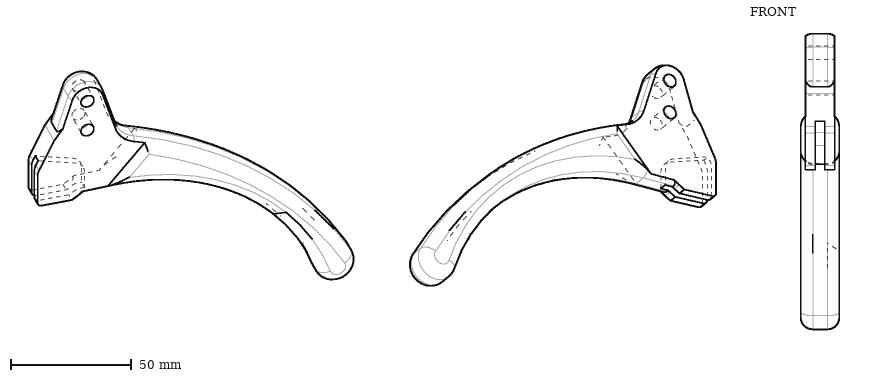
import cadquery as cq
import math


handle_thickness = 16.0
head_thickness = 12.2
edge_radius = 5.0

hub_radius = 7.9
flank_angle = 17.0
hole_diameter = 5.7
hole_spacing = 14.5
throat_radius = 11.8
core_front_z = -33.2
core_toe_y = -8.3
underside_arc_end_y = 11.1

tip_radius = 8.5
tip_center = (108.2, -106.2)
outer_radius = 169.3
outer_tip_angle = 29.2
inner_radius = 91.0
inner_tip_angle = 17.9

step_top = (24.5, -26.9)
step_bottom = (9.8, -43.7)
cutter_reach = 83.0

lug_front_y = -21.7
lug_bottom_z = -48.5
lug_corner_radius = 1.8
lug_shoulder_radius = 6.2
lug_upper = (-11.0, -11.9)
lug_bend = (-14.5, -16.9)
lug_shoulder = (lug_front_y, -31.8)
lug_heel = (-6.8, lug_bottom_z)
lug_heel_top = (-4.2, -46.8)
lug_inside = [(2.8, -41.5), (0.0, -16.6)]

slot_width = 3.7
slot_back_y = 0.0
slot_roof_front_z = -28.0
slot_roof_back_z = -34.2
slot_roof_radius = 5.5


def polar(center, radius, angle):
    """Point at an angle in radians around a centre."""
    return (center[0] + radius * math.cos(angle), center[1] + radius * math.sin(angle))


def bearing(start, end):
    """Direction in radians from one point to another."""
    return math.atan2(end[1] - start[1], end[0] - start[0])


def plate(sketch, thickness):
    """Extrude a YZ sketch symmetrically about X = 0."""
    return sketch.extrude(thickness / 2, both=True)


def make_body():
    """Full-thickness lever with rounded edges."""
    hub = (0.0, 0.0)
    flank = math.radians(flank_angle)
    back_tangent = polar(hub, hub_radius, flank)
    front_tangent = polar(hub, hub_radius, math.pi - flank)

    outer_tip = math.radians(outer_tip_angle)
    inner_tip = math.radians(inner_tip_angle)
    outer_center = polar(tip_center, tip_radius - outer_radius, outer_tip)
    inner_center = polar(tip_center, -(tip_radius + inner_radius), inner_tip)

    normal = (math.cos(flank), math.sin(flank))
    outer_offset = outer_center[0] * normal[0] + outer_center[1] * normal[1]
    across = hub_radius + throat_radius - outer_offset
    along = math.sqrt((outer_radius + throat_radius) ** 2 - across ** 2)
    throat_center = polar(polar(outer_center, across, flank), along, flank + math.pi / 2)
    throat_start = polar(throat_center, -throat_radius, flank)
    outer_start_angle = bearing(outer_center, throat_center)
    throat_middle_angle = (flank + outer_start_angle) / 2 + math.pi
    throat_middle = polar(throat_center, throat_radius, throat_middle_angle)

    arc_end_angle = math.acos((underside_arc_end_y - inner_center[0]) / inner_radius)
    arc_end = polar(inner_center, inner_radius, arc_end_angle)
    toe_z = arc_end[1] - (core_toe_y - arc_end[0]) / math.tan(arc_end_angle)
    front_drop = front_tangent[1] - core_front_z
    core_front = (front_tangent[0] - front_drop * math.tan(flank), core_front_z)

    outline = (
        cq.Workplane("YZ")
        .moveTo(*front_tangent)
        .threePointArc((0.0, hub_radius), back_tangent)
        .lineTo(*throat_start)
        .threePointArc(throat_middle, polar(outer_center, outer_radius, outer_start_angle))
        .threePointArc(
            polar(outer_center, outer_radius, (outer_start_angle + outer_tip) / 2),
            polar(tip_center, tip_radius, outer_tip),
        )
        .threePointArc(
            polar(tip_center, tip_radius, (outer_tip + inner_tip - math.pi) / 2),
            polar(tip_center, -tip_radius, inner_tip),
        )
        .threePointArc(
            polar(inner_center, inner_radius, (inner_tip + arc_end_angle) / 2),
            arc_end,
        )
        .lineTo(core_toe_y, toe_z)
        .lineTo(*core_front)
        .close()
    )
    return plate(outline, handle_thickness).faces("<X or >X").edges().fillet(edge_radius)


def make_step_cutter():
    """Material removed from the -X side of the head, leaving a rounded step."""
    head_face = head_thickness / 2
    handle_face = handle_thickness / 2
    round_center_x = handle_face - edge_radius
    rise = head_face - round_center_x
    step_length = math.sqrt(edge_radius ** 2 - rise ** 2)
    middle_angle = (math.pi / 2 + math.atan2(rise, step_length)) / 2
    middle = polar((-step_length, round_center_x), edge_radius, middle_angle)

    direction = bearing(step_bottom, step_top)
    towards_head = (0, -math.sin(direction), math.cos(direction))
    along_step = (0, -math.cos(direction), -math.sin(direction))
    plane = cq.Plane(origin=(0, *step_bottom), xDir=towards_head, normal=along_step)
    return (
        cq.Workplane(plane)
        .moveTo(-step_length, handle_face)
        .threePointArc(middle, (0, head_face))
        .lineTo(cutter_reach, head_face)
        .lineTo(cutter_reach, handle_thickness)
        .lineTo(-step_length, handle_thickness)
        .close()
        .extrude(cutter_reach, both=True)
    )


def make_lug():
    """Front lug with a blended shoulder and rounded lower corner."""
    outline = cq.Workplane("YZ").polyline([
        lug_upper,
        lug_bend,
        lug_shoulder,
        (lug_front_y, lug_bottom_z),
        lug_heel,
        lug_heel_top,
        *lug_inside,
    ]).close()
    lug = plate(outline, head_thickness)
    lug = lug.edges(cq.NearestToPointSelector((0, *lug_shoulder))).fillet(lug_shoulder_radius)
    lower_corner = cq.NearestToPointSelector((0, lug_front_y, lug_bottom_z))
    return lug.edges(lower_corner).fillet(lug_corner_radius)


def make_slot():
    """Slot cutter with a sloping roof blended into an upright back wall."""
    outline = cq.Workplane("YZ").polyline([
        (lug_front_y, slot_roof_front_z),
        (slot_back_y, slot_roof_back_z),
        (slot_back_y, lug_bottom_z),
        (lug_front_y, lug_bottom_z),
    ]).close()
    roof_corner = cq.NearestToPointSelector((0, slot_back_y, slot_roof_back_z))
    return plate(outline, slot_width).edges(roof_corner).fillet(slot_roof_radius)


def make_holes():
    """Two pivot holes through the head."""
    return plate(
        cq.Workplane("YZ").pushPoints([(0, 0), (0, -hole_spacing)]).circle(hole_diameter / 2),
        handle_thickness,
    )


step_cutter = make_step_cutter()
body = make_body().cut(step_cutter).cut(step_cutter.mirror("YZ"))
result = body.union(make_lug()).cut(make_slot()).cut(make_holes())